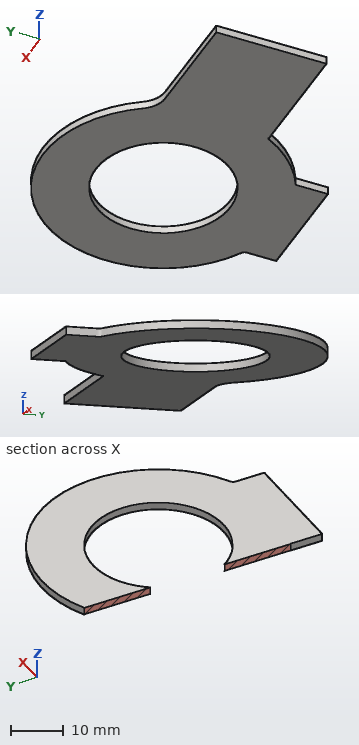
import cadquery as cq

overall_length = 73.0
overall_width = 53.9
thickness = 1.6
ring_diameter = 50.0
hole_diameter = 28.0
tab_width = 23.0
long_tab_fillet = 5.5
short_tab_fillet = 1.0

ring_radius = ring_diameter / 2
long_tab_reach = overall_length - ring_radius
short_tab_reach = overall_width - ring_radius


def plate(length_x, length_y):
    """Rectangular plate reaching from the ring centre, still centred on the origin."""
    return cq.Workplane("XY").box(length_x, length_y, thickness, centered=(True, True, False))


def fillet_corner(body, x_position, y_position, radius):
    """Round the vertical edge nearest to the given point."""
    corner = cq.selectors.NearestToPointSelector((x_position, y_position, thickness / 2))
    return body.edges("|Z").edges(corner).fillet(radius)


ring = cq.Workplane("XY").circle(ring_radius).extrude(thickness)
long_tab = plate(long_tab_reach, tab_width).translate((-long_tab_reach / 2, 0, 0))
short_tab = plate(tab_width, short_tab_reach).translate((0, -short_tab_reach / 2, 0))
washer = ring.union(long_tab).union(short_tab)

half_width = tab_width / 2
corner_distance = (ring_radius**2 - half_width**2) ** 0.5
washer = fillet_corner(washer, -corner_distance, half_width, long_tab_fillet)
washer = fillet_corner(washer, half_width, -corner_distance, short_tab_fillet)

hole = cq.Workplane("XY").circle(hole_diameter / 2).extrude(thickness)
result = washer.cut(hole)